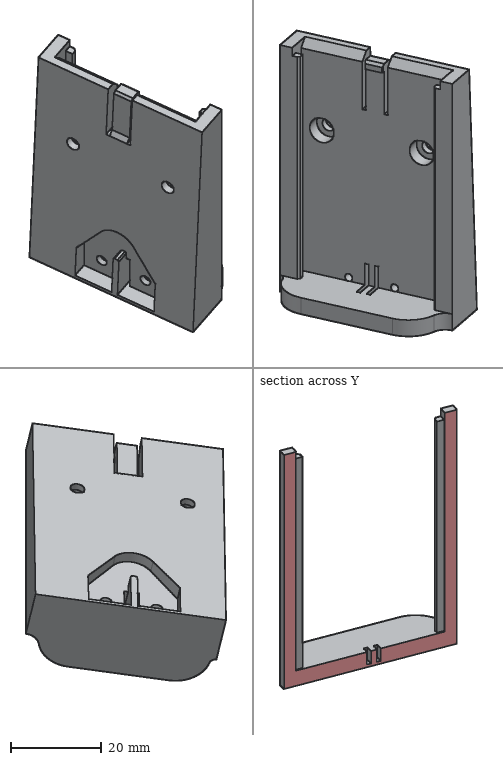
import cadquery as cq
import math


width = 43.0
height = 61.0
wall_back = 12.0
front_setback = 3.8
side_wall = 3.05
base_height = 4.1
cavity_floor = 7.7
top_bevel = 1.95

feature_x = 0.85

foot_back = 20.0
foot_flat = 22.8
foot_radius = foot_back - wall_back

rail_width = 1.75
rail_depth = 1.7
rail_chamfer = 0.55
rail_top = 59.0

notch_width = 6.35
notch_bottom = 47.3
latch_width = 4.6
latch_top = 59.8
latch_recess = 1.05
latch_root_height = 1.0
latch_tip_depth = 0.7
latch_tip_height = 0.5
hook_reach = 0.7
hook_height = 2.0
hook_corner = 0.25

pocket_width = 20.75
pocket_bottom = 0.85
pocket_shoulder = 9.3
pocket_top = 19.5
pocket_radius = 5.35
pocket_floor = 3.8

rib_width = 1.5
rib_top = 11.3
rib_chamfer = 0.35
slot_width = 0.9
slot_top = 9.3
slot_back = 11.65

mount_hole_diameter = 3.2
mount_head_diameter = 6.0
mount_head_depth = 3.4
mount_hole_spacing = 24.9
mount_hole_z = 39.85
screw_hole_diameter = 1.8
screw_mouth_diameter = 2.6
screw_taper_depth = 1.15
screw_hole_spacing = 11.45
screw_hole_z = 4.95


def front_y(z):
    """Y of the sloping front face at height z."""
    return front_setback * z / height


def block(x_min, x_max, y_min, y_max, z_min, z_max):
    """Axis-aligned box given by its limits."""
    size = (x_max - x_min, y_max - y_min, z_max - z_min)
    return cq.Workplane("XY").box(*size, centered=False).translate((x_min, y_min, z_min))


def side_profile(points, x_min, x_max):
    """Closed (y, z) outline extruded from x_min to x_max."""
    profile = cq.Workplane("YZ", origin=(x_min, 0, 0)).polyline(points).close()
    return profile.extrude(x_max - x_min)


def y_cylinder(x, z, diameter, y_min, y_max):
    """Cylinder along Y between two depths."""
    circle = cq.Workplane("XZ", origin=(x, y_min, z)).circle(diameter / 2)
    return circle.extrude(y_min - y_max)


def tray():
    outer = side_profile(
        [(0, 0), (wall_back, 0), (wall_back, height), (front_setback, height)],
        -width / 2,
        width / 2,
    )
    cavity = side_profile(
        [
            (cavity_floor, base_height),
            (wall_back, base_height),
            (wall_back, height),
            (cavity_floor - top_bevel, height),
            (cavity_floor, height - top_bevel),
        ],
        side_wall - width / 2,
        width / 2 - side_wall,
    )
    return outer.cut(cavity)


def foot_corner(side):
    """Points of one foot corner, from the tray edge to the flat back edge.

    The corner arc is centred on the tray's back plane. A hollow fillet,
    tangent to that plane at the tray edge, runs into the arc.
    """
    edge_x = side * width / 2
    arc_x = feature_x + side * foot_flat / 2
    run = abs(edge_x - arc_x)
    fillet = (run**2 - foot_radius**2) / (2 * foot_radius)
    join_angle = math.asin(fillet / (foot_radius + fillet))
    mid_angle = (math.pi / 2 + join_angle) / 2

    def on_arc(angle):
        return (
            arc_x + side * foot_radius * math.cos(angle),
            wall_back + foot_radius * math.sin(angle),
        )

    fillet_mid = (
        edge_x - side * fillet * math.cos(mid_angle),
        wall_back + fillet - fillet * math.sin(mid_angle),
    )
    edge = (edge_x, wall_back)
    return edge, fillet_mid, on_arc(join_angle), on_arc(mid_angle), on_arc(math.pi / 2)


def foot():
    left_edge, left_fillet, left_join, left_arc, left_flat = foot_corner(-1)
    right_edge, right_fillet, right_join, right_arc, right_flat = foot_corner(1)
    outline = (
        cq.Workplane("XY")
        .moveTo(-width / 2, cavity_floor)
        .lineTo(*left_edge)
        .threePointArc(left_fillet, left_join)
        .threePointArc(left_arc, left_flat)
        .lineTo(*right_flat)
        .threePointArc(right_arc, right_join)
        .threePointArc(right_fillet, right_edge)
        .lineTo(width / 2, cavity_floor)
        .close()
    )
    return outline.extrude(base_height)


def rail(side):
    wall_x = side * (width / 2 - side_wall)
    tip_x = wall_x - side * rail_width
    body = block(
        min(wall_x, tip_x),
        max(wall_x, tip_x),
        wall_back - rail_depth,
        wall_back,
        base_height,
        rail_top,
    )
    tip_edge = "<X" if side > 0 else ">X"
    return body.faces(">Y").edges(tip_edge).chamfer(rail_chamfer)


def notch():
    return block(-notch_width / 2, notch_width / 2, 0, wall_back, notch_bottom, height)


def latch():
    face_bottom = notch_bottom + latch_root_height
    face_top = latch_top - latch_tip_height
    face_top_y = front_y(face_top) + latch_recess
    return side_profile(
        [
            (front_y(notch_bottom), notch_bottom),
            (front_y(face_bottom) + latch_recess, face_bottom),
            (face_top_y, face_top),
            (face_top_y + latch_tip_depth, latch_top),
            (cavity_floor, latch_top),
            (cavity_floor, notch_bottom),
        ],
        -latch_width / 2,
        latch_width / 2,
    )


def latch_hook():
    hook_back = cavity_floor + hook_reach
    hook_bottom = latch_top - hook_height
    ramp = side_profile(
        [
            (cavity_floor, hook_bottom),
            (hook_back, hook_bottom),
            (hook_back, latch_top - hook_reach),
            (cavity_floor, latch_top),
        ],
        -latch_width / 2,
        latch_width / 2,
    )
    chamfered_plan = block(
        -latch_width / 2, latch_width / 2, cavity_floor, hook_back, hook_bottom, latch_top
    )
    chamfered_plan = chamfered_plan.edges("|Z and >Y").chamfer(hook_corner)
    return ramp.intersect(chamfered_plan)


def pocket():
    """Gable-shaped recess with a round peak tangent to its sloping sides.

    The gable is cut square to the sloping front face. The pocket floor is
    vertical and the pocket bottom is level.
    """
    half = pocket_width / 2
    peak_z = pocket_top - pocket_radius
    shoulder_drop = peak_z - pocket_shoulder
    shoulder_distance = math.hypot(half, shoulder_drop)
    tangent_angle = math.acos(pocket_radius / shoulder_distance) - math.atan2(shoulder_drop, half)
    tangent_x = pocket_radius * math.cos(tangent_angle)
    tangent_z = peak_z + pocket_radius * math.sin(tangent_angle)
    outline = (
        cq.Workplane("XZ", origin=(feature_x, 0, 0))
        .moveTo(-half, 0)
        .lineTo(-half, pocket_shoulder)
        .lineTo(-tangent_x, tangent_z)
        .threePointArc((0, pocket_top), (tangent_x, tangent_z))
        .lineTo(half, pocket_shoulder)
        .lineTo(half, 0)
        .close()
    )
    lean = math.degrees(math.atan2(front_setback, height))
    square_cut = outline.extrude(-2 * pocket_floor).rotate((0, 0, 0), (1, 0, 0), -lean)
    limits = block(-width / 2, width / 2, 0, pocket_floor, pocket_bottom, height)
    return square_cut.intersect(limits)


def rib():
    """Centre rib of the pocket, flush with the sloping front face."""
    body = block(
        feature_x - rib_width / 2,
        feature_x + rib_width / 2,
        0,
        pocket_floor,
        pocket_bottom,
        rib_top,
    )
    body = body.faces(">Z").edges("|Y").chamfer(rib_chamfer)
    ahead_of_front = side_profile(
        [(0, 0), (front_setback, height), (0, height)], -width / 2, width / 2
    )
    return body.cut(ahead_of_front)


def rib_slot(side):
    inner_x = feature_x + side * rib_width / 2
    outer_x = inner_x + side * slot_width
    return block(
        min(inner_x, outer_x), max(inner_x, outer_x), 0, slot_back, pocket_bottom, slot_top
    )


def screw_hole(x):
    """Hole through the pocket floor with a tapered mouth at its front."""
    mouth = (
        cq.Workplane("XZ", origin=(x, pocket_floor, screw_hole_z))
        .circle(screw_mouth_diameter / 2)
        .workplane(offset=-screw_taper_depth)
        .circle(screw_hole_diameter / 2)
        .loft()
    )
    shank = y_cylinder(x, screw_hole_z, screw_hole_diameter, pocket_floor, cavity_floor)
    return shank.union(mouth)


def mount_hole(x):
    """Through hole counterbored from the cavity floor."""
    shank = y_cylinder(x, mount_hole_z, mount_hole_diameter, 0, cavity_floor)
    head_seat = cavity_floor - mount_head_depth
    head = y_cylinder(x, mount_hole_z, mount_head_diameter, head_seat, cavity_floor)
    return shank.union(head)


result = tray().union(foot())
result = result.cut(notch()).union(latch()).union(latch_hook())
result = result.cut(pocket()).union(rib())
for side in (-1, 1):
    result = result.union(rail(side))
    result = result.cut(rib_slot(side))
    result = result.cut(screw_hole(feature_x + side * screw_hole_spacing / 2))
    result = result.cut(mount_hole(feature_x + side * mount_hole_spacing / 2))